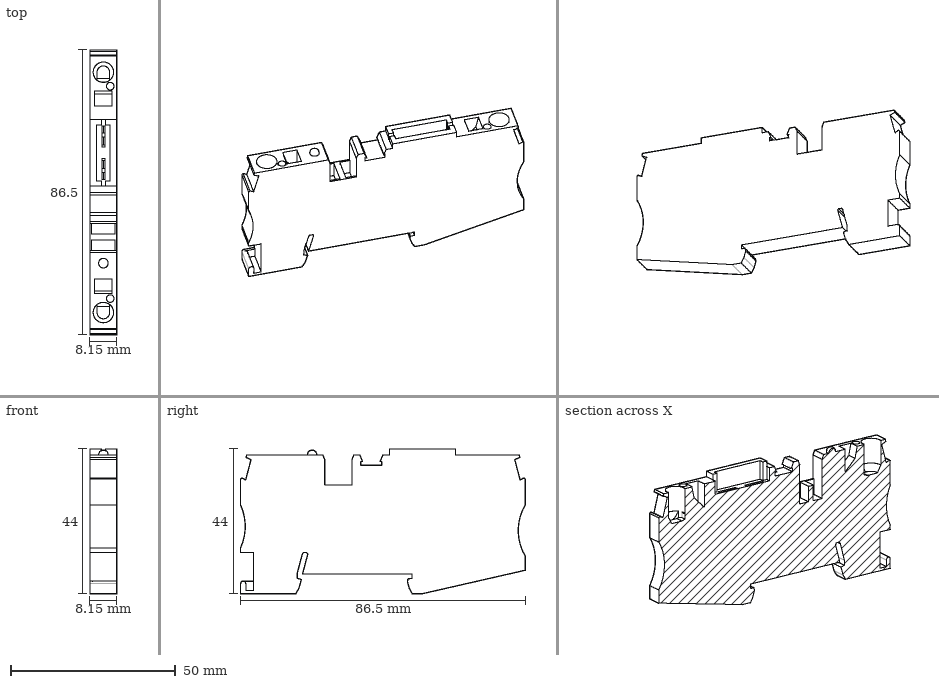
import cadquery as cq
import math


WIDTH = 8.15
LENGTH = 86.5
HEIGHT = 44.05
END_Y = LENGTH / 2
DECK_Z = 42.25

LIP_TOP_Y = END_Y - 1.85
LIP_TIP_Y = END_Y - 1.65
LIP_TIP_Z = DECK_Z - 0.8
LABEL_TOP_Y = END_Y - 3.15
LABEL_TOP_Z = DECK_Z - 1.5
LABEL_LOW_Y = END_Y - 1.55
LABEL_LOW_Z = 34.65
NIB_Y = END_Y - 0.4
NIB_Z = 35.25
WALL_TOP_Z = 34.85
GRIP_TOP_Z = 27.0

FRONT_GRIP_LOW_Z = 14.0
FRONT_GRIP_DEPTH = 1.4
LEVER_GAP_TOP_Z = 12.55
LEVER_GAP_LOW_Z = 3.9
LEVER_GAP_DEPTH = 3.9
LIP_ROUND = 0.8
LEVER_SHELF_WIDTH = 0.8
LEVER_GROOVE_Z = 1.0

REAR_GRIP_LOW_Z = 11.5
REAR_GRIP_DEPTH = 2.1
REAR_WALL_LOW_Z = 7.15

RAIL_Z = 6.0
HOOK_SHELF_Z = 4.75
REAR_FOOT_Y = (8.9, 11.9)
RAIL_REAR_Y = 8.8
FRONT_FOOT_Y = -26.45
RAIL_FRONT_Y = -24.45
HOOK_LOW_Z = 1.65
FIXED_HOOK_TIP_Y = 7.6
FIXED_HOOK_TIP_Z = 4.6
FIXED_HOOK_NOSE_Y = 7.4
FIXED_HOOK_NOSE_Z = 3.75
FIXED_HOOK_LOW_Y = 8.0
SPRING_HOOK_ROOT_Y = -25.95
SPRING_HOOK_TIP_Y = -24.7
SPRING_HOOK_TIP_Z = 4.4
SPRING_HOOK_LOW_Y = -25.5

RELIEF_TOP_Z = 12.5
RELIEF_LOW_Z = 6.4
RELIEF_FRONT_Y = -24.45
RELIEF_REAR_Y = -22.85
RELIEF_CHAMFER = 0.3
RELIEF_SIDE_Z = RELIEF_TOP_Z - 0.45

HOUSING_Y = (1.98, 22.1)
RECESS_X = (-2.15, 2.05)
RECESS_Y = (3.5, 20.5)
RECESS_DEPTH = 6.0
CHANNEL_WIDTH = 1.25
CONTACT_WIDTH = 0.9
CONTACT_DEPTH = 1.5
CONTACT_OUTER_Y = 20.1
CONTACT_INNER_Y = 13.85
CONTACT_GAPS_Y = ((16.8, 18.05), (CONTACT_INNER_Y, 14.4))

MARKER_FLOOR_Z = 39.15
MARKER_LEDGE_Z = 40.2
MARKER_Y = (-6.65, -0.35)
BARB_REACH = 0.52
BARB_LEAD = 0.85
CROSS_Y = (-17.65, -9.45)
CROSS_FLOOR_Z = 33.15
CROSS_LEAD_Z = 40.8
CROSS_LEAD = 0.6
POCKET_WIDTH = 7.1
POCKET_RIB_Y = (-14.45, -12.6)
POCKET_DEPTH = 5.0

ENTRY_Y = 36.5
ENTRY_RADIUS = 3.1
ENTRY_DEPTH = 8.0
FUNNEL_RADIUS = 1.9
FUNNEL_ANGLE = 62.0
FUNNEL_DEPTH = (ENTRY_RADIUS - FUNNEL_RADIUS) * math.tan(math.radians(FUNNEL_ANGLE))
RAMP_LOW_Y = 34.65
RAMP_HIGH_Y = 33.5
RAMP_ANGLE = 20.0
TEST_X = 2.07
TEST_Y = 32.25
TEST_RADIUS = 1.15
TEST_DEPTH = 6.0

RELEASE_X = (-2.7, 2.55)
RELEASE_Y = (26.3, 30.75)
STEEP_RUN = 0.8
STEEP_ANGLE = 78.0

LAMP_Y = -21.5
LAMP_RADIUS = 1.45


def box(x_range, y_range, z_range):
    """Axis-aligned block given by its limits."""
    size = [high - low for low, high in (x_range, y_range, z_range)]
    low_corner = (x_range[0], y_range[0], z_range[0])
    return cq.Workplane("XY").box(*size, centered=False).translate(low_corner)


def side_prism(points, x_range):
    """Prism with a Y-Z outline, running along X."""
    sketch = cq.Workplane("YZ", origin=(x_range[0], 0, 0)).polyline(points).close()
    return sketch.extrude(x_range[1] - x_range[0])


def at_end(solid, end):
    """Keep a feature at the +Y end (end = 1) or mirror it to the -Y end (end = -1)."""
    return solid if end > 0 else solid.mirror("XZ")


def make_body():
    """Side outline of the block, extruded over the full width."""
    end_wall = [
        (LIP_TOP_Y, DECK_Z),
        (LIP_TIP_Y, LIP_TIP_Z),
        (LABEL_TOP_Y, LABEL_TOP_Z),
        (LABEL_LOW_Y, LABEL_LOW_Z),
        (NIB_Y, NIB_Z),
        (END_Y, WALL_TOP_Z),
        (END_Y, GRIP_TOP_Z),
    ]
    front_wall = [(-y, z) for y, z in end_wall]
    rear_barb_y = MARKER_Y[1] - BARB_REACH
    front_barb_y = MARKER_Y[0] + BARB_REACH
    deck = [
        (HOUSING_Y[1], DECK_Z),
        (HOUSING_Y[1], HEIGHT),
        (HOUSING_Y[0], HEIGHT),
        (HOUSING_Y[0], DECK_Z),
        (rear_barb_y + BARB_LEAD, DECK_Z),
        (rear_barb_y, MARKER_LEDGE_Z),
        (MARKER_Y[1], MARKER_LEDGE_Z),
        (MARKER_Y[1], MARKER_FLOOR_Z),
        (MARKER_Y[0], MARKER_FLOOR_Z),
        (MARKER_Y[0], MARKER_LEDGE_Z),
        (front_barb_y, MARKER_LEDGE_Z),
        (front_barb_y - BARB_LEAD, DECK_Z),
        (CROSS_Y[1] + CROSS_LEAD, DECK_Z),
        (CROSS_Y[1], CROSS_LEAD_Z),
        (CROSS_Y[1], CROSS_FLOOR_Z),
        (CROSS_Y[0], CROSS_FLOOR_Z),
        (CROSS_Y[0], CROSS_LEAD_Z),
        (CROSS_Y[0] - CROSS_LEAD, DECK_Z),
    ]
    lever_y = -END_Y + LEVER_GAP_DEPTH
    lip_inner_y = -END_Y + 2 * LIP_ROUND
    lip_round_z = LEVER_GAP_LOW_Z - LIP_ROUND
    front_end = [
        (-END_Y, LEVER_GAP_TOP_Z),
        (lever_y, LEVER_GAP_TOP_Z),
        (lever_y, LEVER_GROOVE_Z),
        (lip_inner_y, LEVER_GROOVE_Z),
        (lip_inner_y, lip_round_z),
    ]
    foot = [
        (FRONT_FOOT_Y, 0),
        (SPRING_HOOK_LOW_Y, HOOK_LOW_Z),
        (SPRING_HOOK_TIP_Y, SPRING_HOOK_TIP_Z),
        (SPRING_HOOK_ROOT_Y, HOOK_SHELF_Z),
        (SPRING_HOOK_ROOT_Y, RELIEF_LOW_Z),
        (RELIEF_FRONT_Y, RELIEF_SIDE_Z),
        (RELIEF_FRONT_Y + RELIEF_CHAMFER, RELIEF_TOP_Z),
        (RELIEF_REAR_Y - RELIEF_CHAMFER, RELIEF_TOP_Z),
        (RELIEF_REAR_Y, RELIEF_SIDE_Z),
        (RAIL_FRONT_Y, RAIL_Z),
        (RAIL_REAR_Y, RAIL_Z),
        (RAIL_REAR_Y, HOOK_SHELF_Z),
        (FIXED_HOOK_TIP_Y, FIXED_HOOK_TIP_Z),
        (FIXED_HOOK_NOSE_Y, FIXED_HOOK_NOSE_Z),
        (FIXED_HOOK_LOW_Y, HOOK_LOW_Z),
        (REAR_FOOT_Y[0], 0),
        (REAR_FOOT_Y[1], 0),
        (END_Y, REAR_WALL_LOW_Z),
        (END_Y, REAR_GRIP_LOW_Z),
    ]
    front_grip_mid = (-END_Y + FRONT_GRIP_DEPTH, (GRIP_TOP_Z + FRONT_GRIP_LOW_Z) / 2)
    rear_grip_mid = (END_Y - REAR_GRIP_DEPTH, (GRIP_TOP_Z + REAR_GRIP_LOW_Z) / 2)
    lip_top = (-END_Y + LIP_ROUND, LEVER_GAP_LOW_Z)

    outline = cq.Workplane("YZ", origin=(-WIDTH / 2, 0, 0)).moveTo(*end_wall[-1])
    for point in end_wall[-2::-1] + deck + front_wall:
        outline = outline.lineTo(*point)
    outline = outline.threePointArc(front_grip_mid, (-END_Y, FRONT_GRIP_LOW_Z))
    for point in front_end:
        outline = outline.lineTo(*point)
    outline = outline.threePointArc(lip_top, (-END_Y, lip_round_z)).lineTo(-END_Y, 0)
    for point in foot:
        outline = outline.lineTo(*point)
    outline = outline.threePointArc(rear_grip_mid, end_wall[-1]).close()
    return outline.extrude(WIDTH)


def lever_shelf():
    """Shelf that closes the groove behind the lever lip at the -X side."""
    x_range = (-WIDTH / 2, -WIDTH / 2 + LEVER_SHELF_WIDTH)
    y_range = (-END_Y + LIP_ROUND, -END_Y + LEVER_GAP_DEPTH)
    return box(x_range, y_range, (0, LEVER_GAP_LOW_Z))


def jumper_recess():
    """Open tray in the housing, end channels and the grooved contact slots in its floor."""
    floor_z = HEIGHT - RECESS_DEPTH
    cut = box(RECESS_X, RECESS_Y, (floor_z, HEIGHT))
    channel_x = (-CHANNEL_WIDTH / 2, CHANNEL_WIDTH / 2)
    cut = cut.union(box(channel_x, HOUSING_Y, (floor_z, HEIGHT)))

    half = CONTACT_WIDTH / 2
    bottom_z = floor_z - CONTACT_DEPTH
    groove = (
        cq.Workplane("XZ", origin=(0, CONTACT_OUTER_Y, 0))
        .polyline([(-half, floor_z), (half, floor_z), (0, bottom_z)])
        .close()
        .extrude(CONTACT_OUTER_Y - CONTACT_INNER_Y)
    )
    for gap_y in CONTACT_GAPS_Y:
        groove = groove.union(box((-half, half), gap_y, (bottom_z, floor_z)))
    middle = (0, sum(HOUSING_Y) / 2, 0)
    return cut.union(groove).union(groove.mirror("XZ", middle))


def cross_channel_pockets():
    """Two pockets in the floor of the cross channel, parted by a rib."""
    x_range = (-POCKET_WIDTH / 2, POCKET_WIDTH / 2)
    z_range = (CROSS_FLOOR_Z - POCKET_DEPTH, CROSS_FLOOR_Z)
    front = box(x_range, (CROSS_Y[0], POCKET_RIB_Y[0]), z_range)
    rear = box(x_range, (POCKET_RIB_Y[1], CROSS_Y[1]), z_range)
    return front.union(rear)


def wire_entry():
    """Round entry narrowing through a cone to a throat with a shallow inboard ramp."""
    cone_z = DECK_Z - ENTRY_DEPTH
    throat_z = cone_z - FUNNEL_DEPTH
    ramp_top_z = throat_z + (RAMP_LOW_Y - RAMP_HIGH_Y) * math.tan(math.radians(RAMP_ANGLE))
    profile = [
        (0, DECK_Z),
        (ENTRY_RADIUS, DECK_Z),
        (ENTRY_RADIUS, cone_z),
        (FUNNEL_RADIUS, throat_z),
        (0, throat_z),
    ]
    funnel = cq.Workplane("XZ").polyline(profile).close().revolve(360, (0, 0, 0), (0, 1, 0))
    funnel = funnel.translate((0, ENTRY_Y, 0))
    throat = side_prism(
        [
            (ENTRY_Y, cone_z),
            (ENTRY_Y, throat_z),
            (RAMP_LOW_Y, throat_z),
            (RAMP_HIGH_Y, ramp_top_z),
            (RAMP_HIGH_Y, cone_z),
        ],
        (-FUNNEL_RADIUS, FUNNEL_RADIUS),
    )
    bore = cq.Workplane("XY", origin=(0, ENTRY_Y, throat_z)).circle(ENTRY_RADIUS).extrude(ENTRY_DEPTH)
    return funnel.union(throat.intersect(bore))


def test_hole():
    """Small blind hole beside the wire entry."""
    base = cq.Workplane("XY", origin=(TEST_X, 0, DECK_Z - TEST_DEPTH))
    return base.circle(TEST_RADIUS).extrude(TEST_DEPTH)


def release_opening():
    """Rectangular opening with a steep outer wall that turns into a 45 degree ramp."""
    inner_y, outer_y = RELEASE_Y
    bend_y = outer_y - STEEP_RUN
    bend_z = DECK_Z - STEEP_RUN * math.tan(math.radians(STEEP_ANGLE))
    floor_z = bend_z - (bend_y - inner_y)
    outline = [(inner_y, DECK_Z), (outer_y, DECK_Z), (bend_y, bend_z), (inner_y, floor_z)]
    return side_prism(outline, RELEASE_X)


def lamp():
    """Domed indicator lamp on the deck, a ball with its poles along Y."""
    ball = cq.Workplane("XY").sphere(LAMP_RADIUS).rotate((0, 0, 0), (1, 0, 0), 90)
    return ball.translate((0, LAMP_Y, DECK_Z))


result = make_body().union(lever_shelf()).union(lamp())
result = result.cut(jumper_recess()).cut(cross_channel_pockets())
for end in (1, -1):
    result = result.cut(at_end(wire_entry(), end))
    result = result.cut(at_end(release_opening(), end))
    result = result.cut(test_hole().translate((0, end * TEST_Y, 0)))